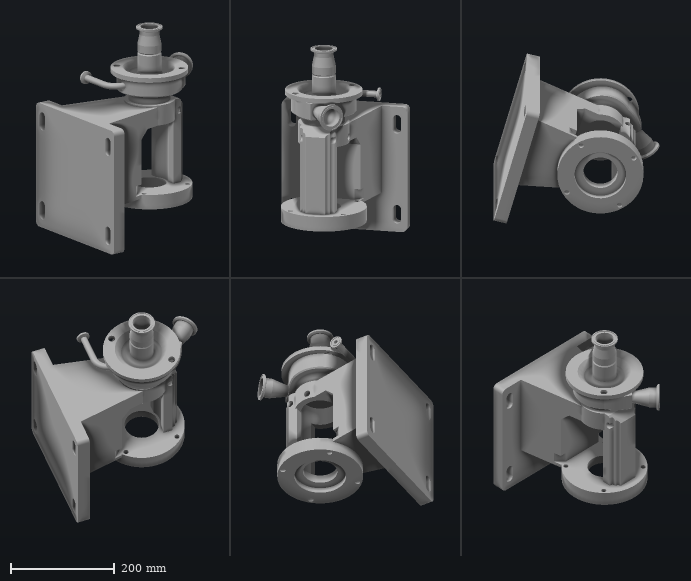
import cadquery as cq
import math


PLATE_SIZE = 250.0
PLATE_THICKNESS = 25.0
PLATE_CORNER_RADIUS = 10.0
PLATE_FRONT_Y = -180.2
PLATE_BACK_Y = PLATE_FRONT_Y + PLATE_THICKNESS
SLOT_SPACING_X = 210.0
SLOT_SPACING_Z = 180
SLOT_LENGTH = 36.8
SLOT_WIDTH = 16.8

BRACKET_BORE_RADIUS = 37.5
RING_RADIUS = 50.0
RING_BOTTOM_Z = 213.5
RING_TOP_Z = 253.7
RING_HOLE_Z = 225.8
SIDE_HOLE_DIAMETER = 14.0

WEB_ROOT_HALF_WIDTH = 75.0
WEB_TIP_HALF_WIDTH = 47.5
WEB_TIP_Y = -15.0
WEB_BOTTOM_Z = 76.7
WEB_FRONT_Y = -62.7
WEB_CHAMFER = 18.5

RIB_HALF_WIDTH = 34.8
RIB_INNER_Y = 32
RIB_STEP_Y = 50.5
RIB_OUTER_Y = 65.5
RIB_SHOULDER_Y = 58.5
RIB_SHOULDER_HALF_WIDTH = 26.8
RIB_INNER_COVE = 5.5
RIB_TOP_CHAMFER_DEPTH = 18.8
RIB_TOP_CHAMFER_HEIGHT = 16.0
RIB_HOLE_Y = 47.0
RIB_HOLE_Z = 230.0

BASE_RADIUS = 83.0
BASE_BORE_RADIUS = 33.0
BASE_RECESS_RADIUS = 50.0
BASE_RECESS_TOP_Z = 66.0
BASE_BOTTOM_Z = 54.7
BASE_TOP_Z = 84
BASE_HOLE_CIRCLE_RADIUS = 74.7
BASE_HOLE_DIAMETER = 10.0
RELIEF_WIDTH = 26.0
RELIEF_LENGTH = 48
RELIEF_HEIGHT = 21.0

NECK_RADIUS = 41.0
NECK_TOP_Z = 264.0
CASING_WIDTH = 121.5
CASING_LENGTH = 128
CASING_BOTTOM_Z = 273.7
CASING_CHAMFER = 2.5
CASING_TOP_Z = 308.5
NECK_FLARE_RADIUS = NECK_RADIUS + CASING_BOTTOM_Z - NECK_TOP_Z
FLANGE_RADIUS = 75.0
FLANGE_TOP_Z = 317.5
FLANGE_HOLE_DIAMETER = 14.0
FLANGE_HOLE_CIRCLE_RADIUS = 63.5
PORT_Z = 291.0

BOWL_RIM_RADIUS = 52
BOWL_FLOOR_RADIUS = 40
BOWL_FLOOR_Z = 307.5
BOWL_VALLEY_RADIUS = 31.0
BOWL_VALLEY_Z = 303.5
BOWL_TUBE_Z = 311.0

FERRULE_RADIUS = 25.5
FERRULE_RIM = 3.5
FERRULE_TAPER = 2.0
FERRULE_TAPER_RADIUS = 22.0
FERRULE_NECK_RADIUS = 19.0
FERRULE_GROOVE_RADIUS = 21.5
FERRULE_GROOVE_WIDTH = 2.0
FERRULE_GROOVE_DEPTH = 1.0
FERRULE_BORE_RADIUS = 17.5

INLET_TOP_Z = 399.5
INLET_RADIUS = 23.0
INLET_NECK_LENGTH = 14.8
INLET_CONE_BOTTOM_Z = 365.5
GROOVE_TOP_Z = 350.5
GROOVE_BOTTOM_Z = 346.0
GROOVE_RADIUS = 21.5
INLET_BORE_BOTTOM_Z = PORT_Z

OUTLET_ANGLE = 45
OUTLET_OFFSET = 44.8
OUTLET_FACE = 107.0
OUTLET_NECK_LENGTH = 19.5
STUB_LENGTH = 54.0
STUB_EDGE = 60.7
STUB_BULGE_EDGE = 65.5
STUB_BULGE_LENGTH = 36
OUTLET_ROOT_RADIUS = 10.8
OUTLET_ROOT_BORE = 9.0

DRAIN_RADIUS = 6.5
DRAIN_BORE_RADIUS = 4.0
DRAIN_Y = -88
DRAIN_BEND_RADIUS = 28.5
DRAIN_END_X = -89.0
DRAIN_FERRULE_RADIUS = 12.8
DRAIN_FERRULE_RIM = 3.5
DRAIN_FERRULE_TAPER = 2.5
DRAIN_GROOVE_RADIUS = 8.8
DRAIN_GROOVE_WIDTH = 1.5
DRAIN_GROOVE_DEPTH = 1.0
DRAIN_ROOT_Y = -48


def cylinder(radius, bottom, top):
    """Upright cylinder on the pump axis between two heights."""
    return cq.Workplane("XY").workplane(offset=bottom).circle(radius).extrude(top - bottom)


def side_prism(points, half_width):
    """Prism across X from an outline given as (y, z) points."""
    return cq.Workplane("YZ").polyline(points).close().extrude(half_width, both=True)


def revolve_profile(points):
    """Solid of revolution about Z from (radius, z) points."""
    return cq.Workplane("XZ").polyline(points).close().revolve(360, (0, 0), (0, 1))


def make_plate():
    center_z = PLATE_SIZE / 2
    plate = (
        cq.Workplane("XY")
        .box(PLATE_SIZE, PLATE_THICKNESS, PLATE_SIZE)
        .edges("|Y")
        .fillet(PLATE_CORNER_RADIUS)
        .translate((0, PLATE_FRONT_Y + PLATE_THICKNESS / 2, center_z))
    )
    slots = (
        cq.Workplane("XZ", origin=(0, PLATE_BACK_Y, center_z))
        .rarray(SLOT_SPACING_X, SLOT_SPACING_Z, 2, 2)
        .slot2D(SLOT_LENGTH, SLOT_WIDTH, 90)
        .extrude(PLATE_THICKNESS)
    )
    return plate.cut(slots)


def make_web():
    """Tapered web from the plate to the top ring, stepped back above the base ring."""
    plan = (
        cq.Workplane("XY")
        .polyline([
            (-WEB_ROOT_HALF_WIDTH, PLATE_BACK_Y),
            (WEB_ROOT_HALF_WIDTH, PLATE_BACK_Y),
            (WEB_TIP_HALF_WIDTH, WEB_TIP_Y),
            (-WEB_TIP_HALF_WIDTH, WEB_TIP_Y),
        ])
        .close()
        .extrude(PLATE_SIZE)
    )
    side = side_prism(
        [
            (PLATE_BACK_Y, PLATE_SIZE),
            (PLATE_BACK_Y, WEB_BOTTOM_Z),
            (WEB_FRONT_Y, WEB_BOTTOM_Z),
            (WEB_FRONT_Y, RING_BOTTOM_Z - WEB_CHAMFER),
            (WEB_FRONT_Y + WEB_CHAMFER, RING_BOTTOM_Z),
            (WEB_TIP_Y, RING_BOTTOM_Z),
            (WEB_TIP_Y, PLATE_SIZE),
        ],
        WEB_ROOT_HALF_WIDTH,
    )
    return plan.intersect(side)


def cove_midpoint(center_x, center_y, radius):
    """Middle of a quarter-round cove whose center is on the +X, +Y side of it."""
    sag = radius * math.sqrt(0.5)
    return (center_x - sag, center_y - sag)


def make_rib():
    """Rear rib joining the base ring to the top ring, with two coves on each back corner."""
    cove_x = RIB_SHOULDER_HALF_WIDTH + RIB_INNER_COVE
    cove_y = RIB_STEP_Y + RIB_INNER_COVE
    back_cove = RIB_OUTER_Y - RIB_SHOULDER_Y
    back_x = RIB_SHOULDER_HALF_WIDTH - back_cove
    half_rib = (
        cq.Workplane("XY")
        .workplane(offset=BASE_BOTTOM_Z)
        .moveTo(0, RIB_INNER_Y)
        .lineTo(RIB_HALF_WIDTH, RIB_INNER_Y)
        .lineTo(RIB_HALF_WIDTH, RIB_STEP_Y)
        .lineTo(cove_x, RIB_STEP_Y)
        .threePointArc(
            cove_midpoint(cove_x, cove_y, RIB_INNER_COVE),
            (RIB_SHOULDER_HALF_WIDTH, cove_y),
        )
        .lineTo(RIB_SHOULDER_HALF_WIDTH, RIB_SHOULDER_Y)
        .threePointArc(
            cove_midpoint(RIB_SHOULDER_HALF_WIDTH, RIB_OUTER_Y, back_cove),
            (back_x, RIB_OUTER_Y),
        )
        .lineTo(0, RIB_OUTER_Y)
        .close()
        .extrude(RING_TOP_Z - BASE_BOTTOM_Z)
    )
    rib = half_rib.union(half_rib.mirror("YZ"))
    top_corner = side_prism(
        [
            (RIB_OUTER_Y, RING_TOP_Z),
            (RIB_OUTER_Y - RIB_TOP_CHAMFER_DEPTH, RING_TOP_Z),
            (RIB_OUTER_Y, RING_TOP_Z - RIB_TOP_CHAMFER_HEIGHT),
        ],
        RIB_HALF_WIDTH,
    )
    hole = (
        cq.Workplane("YZ")
        .center(RIB_HOLE_Y, RIB_HOLE_Z)
        .circle(SIDE_HOLE_DIAMETER / 2)
        .extrude(RIB_HALF_WIDTH, both=True)
    )
    return rib.cut(top_corner).cut(hole)


def make_top_ring():
    """Ring that carries the pump, with its back cut off level with the rib flanks."""
    flat_y = math.sqrt(RING_RADIUS**2 - RIB_HALF_WIDTH**2)
    ring = cylinder(RING_RADIUS, RING_BOTTOM_Z, RING_TOP_Z)
    keep = side_prism(
        [
            (-RING_RADIUS, RING_BOTTOM_Z),
            (flat_y, RING_BOTTOM_Z),
            (flat_y, RING_TOP_Z),
            (-RING_RADIUS, RING_TOP_Z),
        ],
        RING_RADIUS,
    )
    hole = (
        cq.Workplane("YZ")
        .center(0, RING_HOLE_Z)
        .circle(SIDE_HOLE_DIAMETER / 2)
        .extrude(-RING_RADIUS)
    )
    return ring.intersect(keep).cut(hole)


def make_bracket():
    bracket = make_web().union(make_top_ring()).union(make_rib())
    bracket = bracket.cut(cylinder(BRACKET_BORE_RADIUS, 0, RING_TOP_Z))
    base = cylinder(BASE_RADIUS, BASE_BOTTOM_Z, BASE_TOP_Z)
    bracket = bracket.union(base).cut(cylinder(BASE_BORE_RADIUS, 0, BASE_TOP_Z))
    bracket = bracket.cut(cylinder(BASE_RECESS_RADIUS, BASE_BOTTOM_Z, BASE_RECESS_TOP_Z))
    for angle in (45, 135, 225, 315):
        hole = (
            cylinder(BASE_HOLE_DIAMETER / 2, BASE_BOTTOM_Z, BASE_TOP_Z)
            .translate((BASE_HOLE_CIRCLE_RADIUS, 0, 0))
            .rotate((0, 0, 0), (0, 0, 1), angle)
        )
        bracket = bracket.cut(hole)
    for angle in (225, 315):
        relief = (
            cq.Workplane("XY")
            .box(RELIEF_LENGTH, RELIEF_WIDTH, RELIEF_HEIGHT, centered=(True, True, False))
            .translate((BASE_HOLE_CIRCLE_RADIUS, 0, BASE_TOP_Z))
            .rotate((0, 0, 0), (0, 0, 1), angle)
        )
        bracket = bracket.cut(relief)
    return bracket


def make_casing():
    """Neck, volute with its outlet stub, and the front flange with its bowl."""
    end_radius = CASING_WIDTH / 2
    end_x = (CASING_LENGTH - CASING_WIDTH) / 2
    stub_root_x = end_x + math.sqrt(end_radius**2 - STUB_LENGTH**2)
    mid_x = (end_x + stub_root_x) / 2
    mid_y = math.sqrt(end_radius**2 - (mid_x - end_x) ** 2)
    sag = end_radius * math.sqrt(0.5)
    body = (
        cq.Workplane("XY")
        .workplane(offset=CASING_BOTTOM_Z)
        .moveTo(CASING_LENGTH / 2, 0)
        .threePointArc((STUB_BULGE_EDGE, STUB_BULGE_LENGTH), (STUB_EDGE, STUB_LENGTH))
        .lineTo(stub_root_x, STUB_LENGTH)
        .threePointArc((mid_x, mid_y), (end_x, end_radius))
        .lineTo(-end_x, end_radius)
        .threePointArc((-CASING_LENGTH / 2, 0), (-end_x, -end_radius))
        .lineTo(end_x, -end_radius)
        .threePointArc((end_x + sag, -sag), (CASING_LENGTH / 2, 0))
        .close()
        .extrude(CASING_TOP_Z - CASING_BOTTOM_Z)
        .faces("<Z")
        .chamfer(CASING_CHAMFER)
        .rotate((0, 0, 0), (0, 0, 1), OUTLET_ANGLE)
    )
    flare = CASING_BOTTOM_Z - NECK_TOP_Z
    flare_sag = flare * math.sqrt(0.5)
    neck = (
        cq.Workplane("XZ")
        .moveTo(0, RING_TOP_Z)
        .lineTo(NECK_RADIUS, RING_TOP_Z)
        .lineTo(NECK_RADIUS, NECK_TOP_Z)
        .threePointArc(
            (NECK_FLARE_RADIUS - flare_sag, NECK_TOP_Z + flare_sag),
            (NECK_FLARE_RADIUS, CASING_BOTTOM_Z),
        )
        .lineTo(0, CASING_BOTTOM_Z)
        .close()
        .revolve(360, (0, 0), (0, 1))
    )
    flange = cylinder(FLANGE_RADIUS, CASING_TOP_Z, FLANGE_TOP_Z)
    casing = body.union(neck).union(flange)
    for angle in (45, 225):
        hole = (
            cylinder(FLANGE_HOLE_DIAMETER / 2, CASING_TOP_Z, FLANGE_TOP_Z)
            .translate((FLANGE_HOLE_CIRCLE_RADIUS, 0, 0))
            .rotate((0, 0, 0), (0, 0, 1), angle)
        )
        casing = casing.cut(hole)
    bowl = (
        cq.Workplane("XZ")
        .moveTo(INLET_RADIUS, FLANGE_TOP_Z)
        .lineTo(BOWL_RIM_RADIUS, FLANGE_TOP_Z)
        .lineTo(BOWL_FLOOR_RADIUS, BOWL_FLOOR_Z)
        .threePointArc((BOWL_VALLEY_RADIUS, BOWL_VALLEY_Z), (INLET_RADIUS, BOWL_TUBE_Z))
        .close()
        .revolve(360, (0, 0), (0, 1))
    )
    return casing.cut(bowl)


def ferrule_points(face, neck_length):
    """(radius, z) outline of a clamp ferrule whose open face, with its seal groove, is at z = face."""
    groove_outer_radius = FERRULE_GROOVE_RADIUS + FERRULE_GROOVE_WIDTH
    groove_floor = face - FERRULE_GROOVE_DEPTH
    taper_top = face - FERRULE_RIM
    taper_bottom = taper_top - FERRULE_TAPER
    return [
        (0, face),
        (FERRULE_GROOVE_RADIUS, face),
        (FERRULE_GROOVE_RADIUS, groove_floor),
        (groove_outer_radius, groove_floor),
        (groove_outer_radius, face),
        (FERRULE_RADIUS, face),
        (FERRULE_RADIUS, taper_top),
        (FERRULE_TAPER_RADIUS, taper_bottom),
        (FERRULE_NECK_RADIUS, taper_bottom),
        (FERRULE_NECK_RADIUS, face - neck_length),
    ]


def make_inlet():
    return revolve_profile(ferrule_points(INLET_TOP_Z, INLET_NECK_LENGTH) + [
        (INLET_RADIUS, INLET_CONE_BOTTOM_Z),
        (INLET_RADIUS, GROOVE_TOP_Z),
        (GROOVE_RADIUS, (GROOVE_TOP_Z + GROOVE_BOTTOM_Z) / 2),
        (INLET_RADIUS, GROOVE_BOTTOM_Z),
        (INLET_RADIUS, CASING_TOP_Z),
        (0, CASING_TOP_Z),
    ])


def place_outlet(solid):
    """Move an upright solid so its axis becomes the outlet axis."""
    return (
        solid.rotate((0, 0, 0), (1, 0, 0), -90)
        .translate((OUTLET_OFFSET, 0, PORT_Z))
        .rotate((0, 0, 0), (0, 0, 1), OUTLET_ANGLE)
    )


def make_outlet():
    return place_outlet(revolve_profile(ferrule_points(OUTLET_FACE, OUTLET_NECK_LENGTH) + [
        (OUTLET_ROOT_RADIUS, STUB_LENGTH),
        (OUTLET_ROOT_RADIUS, 0),
        (0, 0),
    ]))


def make_outlet_bore():
    return place_outlet(revolve_profile([
        (0, OUTLET_FACE),
        (FERRULE_BORE_RADIUS, OUTLET_FACE),
        (FERRULE_BORE_RADIUS, OUTLET_FACE - OUTLET_NECK_LENGTH),
        (OUTLET_ROOT_BORE, STUB_LENGTH),
        (OUTLET_ROOT_BORE, 0),
        (0, 0),
    ]))


def drain_sweep(radius):
    """Round bar along the drain: out of the casing, round the bend and away to -X."""
    sag = DRAIN_BEND_RADIUS * math.sqrt(0.5)
    bend_y = DRAIN_Y + DRAIN_BEND_RADIUS
    path = (
        cq.Workplane("XY", origin=(0, 0, PORT_Z))
        .moveTo(DRAIN_END_X, DRAIN_Y)
        .lineTo(-DRAIN_BEND_RADIUS, DRAIN_Y)
        .threePointArc((sag - DRAIN_BEND_RADIUS, bend_y - sag), (0, bend_y))
        .lineTo(0, DRAIN_ROOT_Y)
    )
    return cq.Workplane("YZ", origin=(DRAIN_END_X, DRAIN_Y, PORT_Z)).circle(radius).sweep(path)


def make_drain():
    rim = (
        cq.Workplane("YZ", origin=(DRAIN_END_X, DRAIN_Y, PORT_Z))
        .circle(DRAIN_FERRULE_RADIUS)
        .extrude(DRAIN_FERRULE_RIM)
    )
    taper = (
        rim.faces(">X")
        .workplane()
        .circle(DRAIN_FERRULE_RADIUS)
        .workplane(offset=DRAIN_FERRULE_TAPER)
        .circle(DRAIN_RADIUS)
        .loft(combine=True)
    )
    groove = (
        cq.Workplane("YZ", origin=(DRAIN_END_X, DRAIN_Y, PORT_Z))
        .circle(DRAIN_GROOVE_RADIUS + DRAIN_GROOVE_WIDTH)
        .circle(DRAIN_GROOVE_RADIUS)
        .extrude(DRAIN_GROOVE_DEPTH)
    )
    return taper.union(drain_sweep(DRAIN_RADIUS)).cut(groove)


pump = make_casing().union(make_inlet()).union(make_outlet()).union(make_drain())
pump = pump.cut(cylinder(FERRULE_BORE_RADIUS, INLET_BORE_BOTTOM_Z, INLET_TOP_Z))
pump = pump.cut(make_outlet_bore()).cut(drain_sweep(DRAIN_BORE_RADIUS))

result = make_plate().union(make_bracket()).union(pump)